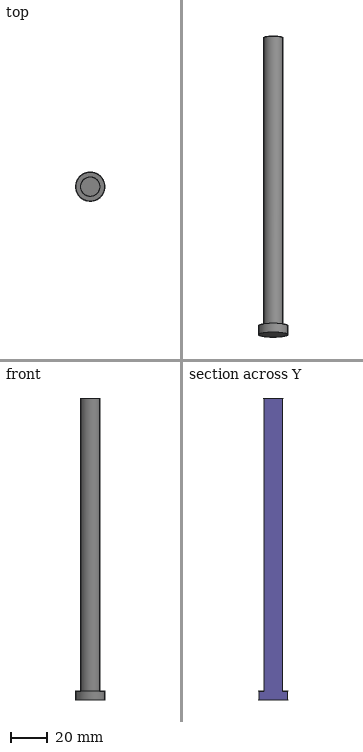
import cadquery as cq

total_length = 165.0
head_diameter = 16.0
head_height = 5.0
shaft_diameter = 10.5
shaft_length = total_length - head_height

head = cq.Workplane("XY").circle(head_diameter / 2).extrude(head_height)

result = head.faces(">Z").workplane().circle(shaft_diameter / 2).extrude(shaft_length)